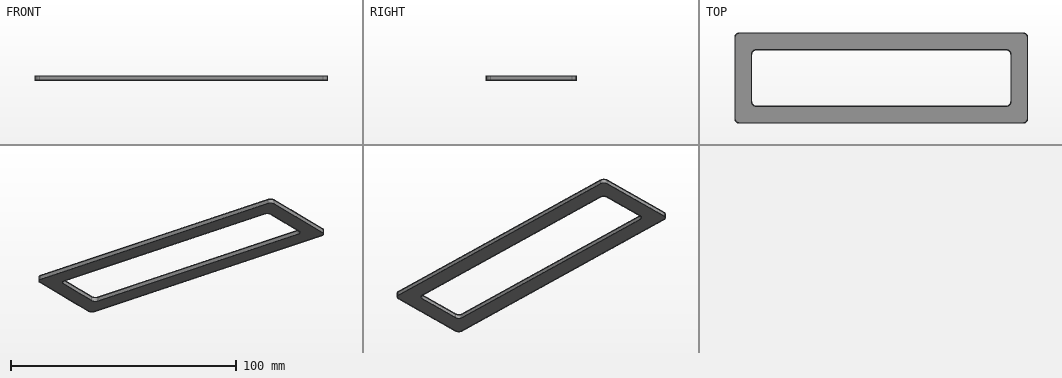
import cadquery as cq

length = 130.0
width = 40.0
thickness = 2.0
outer_corner_radius = 2.0

border = 7.5
window_corner_radius = 2.0


def rounded_plate(size_x, size_y, corner_radius):
    """Flat plate centred on the origin with rounded vertical corners."""
    plate = cq.Workplane("XY").box(size_x, size_y, thickness)
    return plate.edges("|Z").fillet(corner_radius)


outer_plate = rounded_plate(length, width, outer_corner_radius)
window = rounded_plate(length - 2 * border, width - 2 * border, window_corner_radius)

result = outer_plate.cut(window)